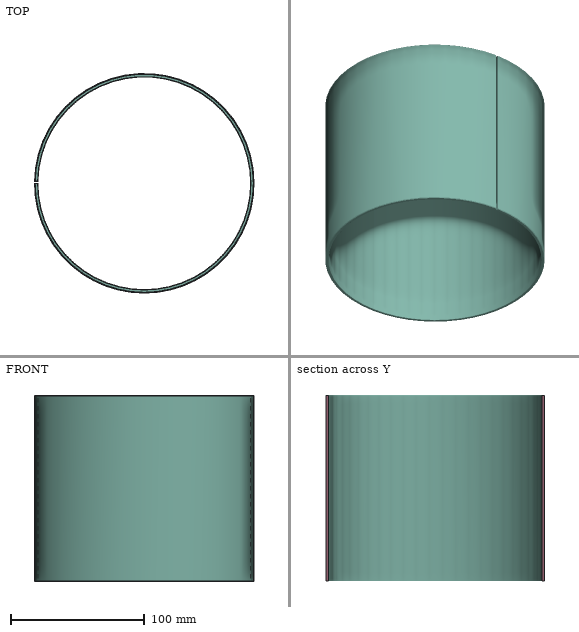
import cadquery as cq
import math

outer_diameter = 165.0
wall_thickness = 2.5
height = 140.0
outer_chamfer = 0.5
inner_chamfer = 0.2
slit_angle = 1.0

outer_radius = outer_diameter / 2
inner_radius = outer_radius - wall_thickness


def make_sleeve():
    """Thin-walled tube along Z, standing on Z = 0, revolved from its chamfered wall section."""
    wall_section = [
        (outer_radius, outer_chamfer),
        (outer_radius - outer_chamfer, 0),
        (inner_radius + inner_chamfer, 0),
        (inner_radius, inner_chamfer),
        (inner_radius, height - inner_chamfer),
        (inner_radius + inner_chamfer, height),
        (outer_radius - outer_chamfer, height),
        (outer_radius, height - outer_chamfer),
    ]
    return cq.Workplane("XZ").polyline(wall_section).close().revolve(360, (0, 0, 0), (0, 1, 0))


def make_slit_cutter():
    """Full-height wedge from the axis through the -X wall, opening from the XZ plane toward +Y."""
    reach = outer_radius + wall_thickness
    opening = reach * math.tan(math.radians(slit_angle))
    outline = [(0, 0), (-reach, 0), (-reach, opening)]
    return cq.Workplane("XY").polyline(outline).close().extrude(height)


result = make_sleeve().cut(make_slit_cutter())